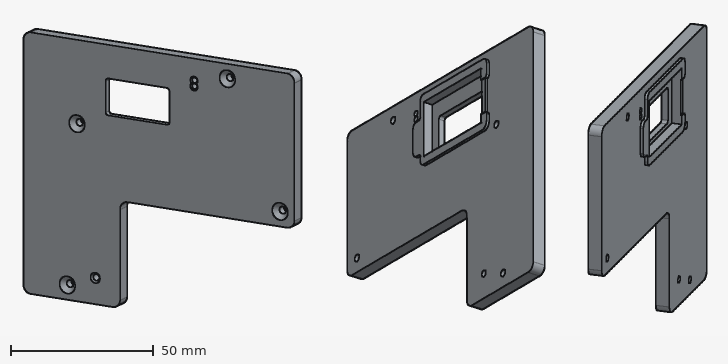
import cadquery as cq

WIDTH = 109.6
HEIGHT = 95.41
TOTAL_DEPTH = 6.22
PLATE_THICKNESS = 5.1
LEG_WIDTH = 39.1
UPPER_HEIGHT = 56.3
CORNER_RADIUS = 3.0

WINDOW_LEFT = 33.3
WINDOW_WIDTH = 25.7
WINDOW_HEIGHT = 13.4
WINDOW_TOP = HEIGHT - 12.35
WINDOW_BOTTOM = WINDOW_TOP - WINDOW_HEIGHT
WINDOW_RADIUS = 1.0
WINDOW_LIP = 2.5

PAD_LEFT = 26.0
PAD_RIGHT = 65.0
PAD_TOP = HEIGHT - 3.1
PAD_BOTTOM = HEIGHT - 30.5
PAD_RADIUS = 2.0
PAD_LOWER_LEFT_RADIUS = 2.7
TAB_RIGHT = 69.3
TAB_ROOT_RADIUS = 1.0

POCKET_DROP = 1.6
POCKET_LEFT = 29.3
POCKET_RIGHT = 63.0
POCKET_BOTTOM = WINDOW_BOTTOM - POCKET_DROP
POCKET_TOP = PAD_TOP - (POCKET_BOTTOM - PAD_BOTTOM)

CHANNEL_TOP = HEIGHT - 10.7
CHANNEL_BOTTOM = HEIGHT - 24.0
CHANNEL_DEPTH = 0.37
CHANNEL_MOUTH_RADIUS = 1.1

SCREW_CENTERS = [
    (82.5, HEIGHT - 5.45),
    (21.7, HEIGHT - 30.6),
    (103.8, HEIGHT - 50.75),
    (17.8, 5.45),
]
SCREW_DIAMETER = 2.6
SCREW_HEAD_DIAMETER = 6.3

SMALL_HOLE_CENTER = (29.1, 9.65)
SMALL_HOLE_DIAMETER = 2.4
SMALL_HOLE_RIM_DIAMETER = 3.8

PAIR_X = 69.0
PAIR_MIDDLE_Z = HEIGHT - 9.15
PAIR_PITCH = 2.2
PAIR_DIAMETER = 2.0
PAIR_RIM_DIAMETER = 2.95


def box(left, right, bottom, top, front, back):
    """Block between the given X, Z and Y limits."""
    return cq.Workplane("XY").box(
        right - left, back - front, top - bottom, centered=False
    ).translate((left, front, bottom))


def front_plane(x=0, z=0):
    """Workplane on the front face, facing -Y, with its origin at (x, z)."""
    return cq.Workplane("XZ", origin=(x, 0, z))


def make_plate():
    step_z = HEIGHT - UPPER_HEIGHT
    outline = [
        (0, 0),
        (LEG_WIDTH, 0),
        (LEG_WIDTH, step_z),
        (WIDTH, step_z),
        (WIDTH, HEIGHT),
        (0, HEIGHT),
    ]
    plate = front_plane().polyline(outline).close().extrude(-PLATE_THICKNESS)
    return plate.edges("|Y").fillet(CORNER_RADIUS)


def edge_at(x, z):
    """Selector for the depth-wise edge through (x, z) on the raised pad."""
    reach = 0.1
    return cq.selectors.BoxSelector(
        (x - reach, 0, z - reach), (x + reach, TOTAL_DEPTH, z + reach)
    )


def make_pad():
    main = box(PAD_LEFT, PAD_RIGHT, PAD_BOTTOM, PAD_TOP, PLATE_THICKNESS, TOTAL_DEPTH)
    tab = box(PAD_LEFT, TAB_RIGHT, WINDOW_BOTTOM, WINDOW_TOP, PLATE_THICKNESS, TOTAL_DEPTH)
    pad = main.union(tab)
    for z in (WINDOW_BOTTOM, WINDOW_TOP):
        pad = pad.edges(edge_at(PAD_RIGHT, z)).fillet(TAB_ROOT_RADIUS)
        pad = pad.edges(edge_at(TAB_RIGHT, z)).fillet(PAD_RADIUS)
    pad = pad.edges(edge_at(PAD_LEFT, PAD_BOTTOM)).fillet(PAD_LOWER_LEFT_RADIUS)
    for x, z in ((PAD_LEFT, PAD_TOP), (PAD_RIGHT, PAD_TOP), (PAD_RIGHT, PAD_BOTTOM)):
        pad = pad.edges(edge_at(x, z)).fillet(PAD_RADIUS)
    return pad


def make_window():
    right = WINDOW_LEFT + WINDOW_WIDTH
    window = box(WINDOW_LEFT, right, WINDOW_BOTTOM, WINDOW_TOP, 0, TOTAL_DEPTH)
    return window.edges("|Y").fillet(WINDOW_RADIUS)


def make_pocket():
    return box(POCKET_LEFT, POCKET_RIGHT, POCKET_BOTTOM, POCKET_TOP, WINDOW_LIP, TOTAL_DEPTH)


def make_channel():
    """Shallow channel out of the pocket, opening into a full-height mouth with rounded corners."""
    radius = CHANNEL_MOUTH_RADIUS
    mouth_end = PAD_LEFT + radius
    mouth = (
        front_plane()
        .moveTo(mouth_end, CHANNEL_BOTTOM)
        .radiusArc((PAD_LEFT, CHANNEL_BOTTOM - radius), -radius)
        .lineTo(PAD_LEFT, CHANNEL_TOP + radius)
        .radiusArc((mouth_end, CHANNEL_TOP), -radius)
        .close()
        .extrude(PLATE_THICKNESS - TOTAL_DEPTH)
        .translate((0, PLATE_THICKNESS, 0))
    )
    floor_y = TOTAL_DEPTH - CHANNEL_DEPTH
    channel = box(mouth_end, POCKET_LEFT, CHANNEL_BOTTOM, CHANNEL_TOP, floor_y, TOTAL_DEPTH)
    return mouth.union(channel)


def make_countersunk_hole(x, z, diameter, rim_diameter):
    """Through hole with a 90-degree conical rim on the front face."""
    cone_depth = (rim_diameter - diameter) / 2
    bore = front_plane(x, z).circle(diameter / 2).extrude(-TOTAL_DEPTH)
    cone = cq.Solid.makeCone(
        rim_diameter / 2, diameter / 2, cone_depth, cq.Vector(x, 0, z), cq.Vector(0, 1, 0)
    )
    return bore.union(cq.Workplane(cone))


result = make_plate().union(make_pad())
result = result.cut(make_window()).cut(make_pocket()).cut(make_channel())

for screw_x, screw_z in SCREW_CENTERS:
    result = result.cut(make_countersunk_hole(screw_x, screw_z, SCREW_DIAMETER, SCREW_HEAD_DIAMETER))

result = result.cut(
    make_countersunk_hole(*SMALL_HOLE_CENTER, SMALL_HOLE_DIAMETER, SMALL_HOLE_RIM_DIAMETER)
)

for side in (-1, 1):
    pair_z = PAIR_MIDDLE_Z + side * PAIR_PITCH / 2
    result = result.cut(make_countersunk_hole(PAIR_X, pair_z, PAIR_DIAMETER, PAIR_RIM_DIAMETER))